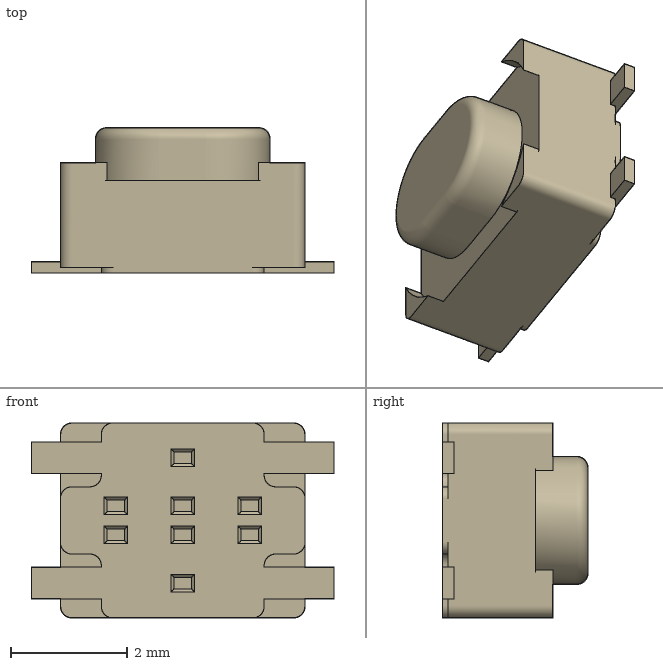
import cadquery as cq

BODY_WIDTH = 4.2
BODY_HEIGHT = 3.35
BODY_DEPTH = 1.9
CORNER_RADIUS = 0.2

PLATE_THICKNESS = 0.1
PLATE_WIDTH = 2.8
WING_HEIGHT = 1.155

LEAD_SPAN = 5.2
LEAD_HEIGHT = 0.545
LEAD_THICKNESS = 0.2
LEAD_OFFSET = 1.075

TOTAL_DEPTH = 2.5
BUTTON_LENGTH = 3.0
BUTTON_HEIGHT = 2.2
POCKET_RADIUS = 1.905
POCKET_DEPTH = 0.3
POCKET_FLOOR = BODY_DEPTH - POCKET_DEPTH

DIMPLE_WIDTH = 0.4
DIMPLE_HEIGHT = 0.3
DIMPLE_DEPTH = 0.05
DIMPLE_INSET = 0.05
DIMPLE_COLUMN_X = 1.15
DIMPLE_ROW_Z = 0.25


def block(width, height, y_start, y_end):
    """Box centred on the Y axis between two depths."""
    depth = y_end - y_start
    return cq.Workplane("XY").box(width, depth, height).translate((0, y_start + depth / 2, 0))


def slot(height, y_start, y_end):
    """Round-ended slot along X between two depths; the end arcs share the button's centres."""
    length = height + BUTTON_LENGTH - BUTTON_HEIGHT
    return cq.Workplane("XZ", origin=(0, y_start, 0)).slot2D(length, height).extrude(y_start - y_end)


def make_housing():
    housing = block(BODY_WIDTH, BODY_HEIGHT, PLATE_THICKNESS, BODY_DEPTH)
    housing = housing.edges("|Y").fillet(CORNER_RADIUS)
    return housing.cut(slot(2 * POCKET_RADIUS, POCKET_FLOOR, BODY_DEPTH))


def make_plate():
    """Cross-shaped plate with every corner rounded, inner ones included."""
    column = block(PLATE_WIDTH, BODY_HEIGHT, 0, PLATE_THICKNESS)
    wings = block(BODY_WIDTH, WING_HEIGHT, 0, PLATE_THICKNESS)
    return column.union(wings).edges("|Y").fillet(CORNER_RADIUS)


def make_button():
    button = slot(BUTTON_HEIGHT, POCKET_FLOOR, TOTAL_DEPTH)
    return button.faces(">Y").edges().fillet(CORNER_RADIUS)


def make_dimple(x, z):
    """Rectangular frustum that narrows from the mounting face inwards."""
    return (
        cq.Workplane("XZ")
        .center(x, z)
        .rect(DIMPLE_WIDTH, DIMPLE_HEIGHT)
        .workplane(offset=-DIMPLE_DEPTH)
        .rect(DIMPLE_WIDTH - 2 * DIMPLE_INSET, DIMPLE_HEIGHT - 2 * DIMPLE_INSET)
        .loft(ruled=True)
    )


result = make_housing().union(make_plate()).union(make_button())

for lead_z in (-LEAD_OFFSET, LEAD_OFFSET):
    lead = block(LEAD_SPAN, LEAD_HEIGHT, 0, LEAD_THICKNESS)
    result = result.union(lead.translate((0, 0, lead_z)))

for side in (-1, 1):
    for column_x in (-DIMPLE_COLUMN_X, 0, DIMPLE_COLUMN_X):
        result = result.cut(make_dimple(column_x, side * DIMPLE_ROW_Z))
    result = result.cut(make_dimple(0, side * LEAD_OFFSET))